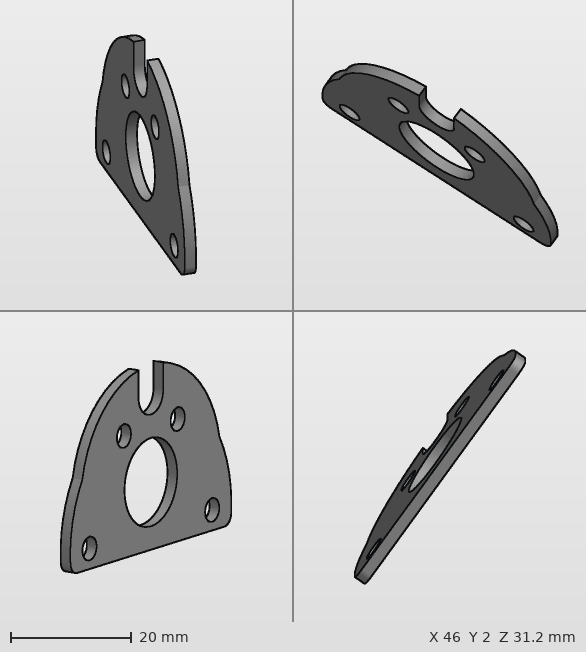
import cadquery as cq
import math

thickness = 2.0
bottom_z = -11.5

upper_radius = 20.0
lower_radius = 23.0
lower_centre_z = -8.0
corner_radius = 2.0

bore_diameter = 15.0
slot_width = 7.0
slot_centre_z = 15.0
hole_diameter = 4.0
upper_hole_x = 7.675
upper_hole_z = 9.28
lower_hole_x = 17.5
lower_hole_z = lower_centre_z

shoulder_z = (upper_radius**2 - lower_radius**2 + lower_centre_z**2) / (2 * lower_centre_z)
shoulder_x = math.sqrt(upper_radius**2 - shoulder_z**2)

bottom_x = math.sqrt(lower_radius**2 - (bottom_z - lower_centre_z) ** 2)


def front_plane():
    """Sketch plane on the front face: local x is X, local y is Z."""
    return cq.Workplane("XZ", origin=(0, -thickness / 2, 0))


def lower_arc_middle():
    """Middle point of the lower arc on the +X side."""
    top_angle = math.atan2(shoulder_z - lower_centre_z, shoulder_x)
    bottom_angle = math.atan2(bottom_z - lower_centre_z, bottom_x)
    angle = (top_angle + bottom_angle) / 2
    x = lower_radius * math.cos(angle)
    z = lower_centre_z + lower_radius * math.sin(angle)
    return x, z


def make_blank():
    """Plate outline with rounded bottom corners, before any openings."""
    side_x, side_z = lower_arc_middle()
    blank = (
        front_plane()
        .moveTo(-bottom_x, bottom_z)
        .lineTo(bottom_x, bottom_z)
        .threePointArc((side_x, side_z), (shoulder_x, shoulder_z))
        .threePointArc((0, upper_radius), (-shoulder_x, shoulder_z))
        .threePointArc((-side_x, side_z), (-bottom_x, bottom_z))
        .close()
        .extrude(-thickness)
    )
    return blank.faces("<Z").edges("|Y").fillet(corner_radius)


def make_round_cutter(diameter, centres):
    """Cylinders through the plate at the given (x, z) centres."""
    return front_plane().pushPoints(centres).circle(diameter / 2).extrude(-thickness)


def make_slot_cutter():
    """Round-bottomed slot, open at the top edge of the plate."""
    channel_height = upper_radius - slot_centre_z
    channel = (
        front_plane()
        .center(0, slot_centre_z + channel_height / 2)
        .rect(slot_width, channel_height)
        .extrude(-thickness)
    )
    return channel.union(make_round_cutter(slot_width, [(0, slot_centre_z)]))


def small_hole_centres():
    """Two mirrored pairs of small holes."""
    centres = []
    for side in (-1, 1):
        centres.append((side * upper_hole_x, upper_hole_z))
        centres.append((side * lower_hole_x, lower_hole_z))
    return centres


result = (
    make_blank()
    .cut(make_round_cutter(bore_diameter, [(0, 0)]))
    .cut(make_slot_cutter())
    .cut(make_round_cutter(hole_diameter, small_hole_centres()))
)